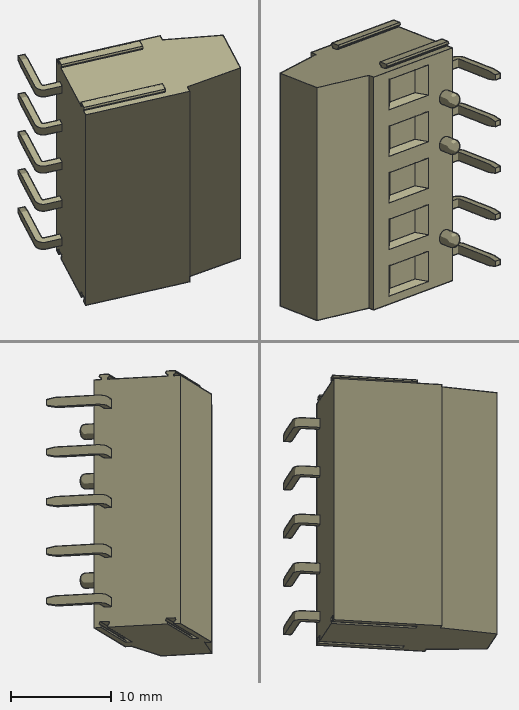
import cadquery as cq

cell_count = 5
housing_width = 8.95
housing_height = 25.05
pitch = housing_height / cell_count
housing_depth = 16.87
shoulder_y = 10.95
left_shoulder = 0.66
right_shoulder = 0.72
ridge_left_x = 1.97
ridge_right_x = 7.23

total_height = 25.55
rib_height = total_height - housing_height
rib_length = 8.55
rib_width = 1.07
rib_neck_width = 0.65
rib_neck_height = 0.1
rib_flare_height = 0.2
groove_clearance = 0.08
groove_depth = rib_height + groove_clearance
groove_neck_height = rib_neck_height + groove_clearance
rib_top_width = 0.87
rib_centres_x = (1.07, 7.95)

pocket_y = 6.08
pocket_length = 5.52
pocket_height = 3.25
pocket_floor_length = 3.48
pocket_floor_height = 2.65
pocket_depth = 0.9

stud_boundaries = (1, 2, 4)
stud_y = 1.05
stud_radius = 0.77
stud_length = 1.64
stud_tip_radius = 0.35
stud_dome_length = 0.49

pin_height = 0.92
pin_thickness = 0.72
pin_outer_x = 1.81
pin_reach_x = 4.17
pin_reach_y = 2.58
pin_inner_radius = 0.18
pin_outer_radius = pin_inner_radius + pin_thickness
pin_taper_length = 0.92
pin_tip_height = 0.55
pin_embed = 0.25


def cell_centre_z(cell):
    """Height of the middle of a cell, counted from the bottom."""
    return (cell + 0.5) * pitch


def make_housing():
    outline = [
        (0, 0),
        (housing_width, 0),
        (housing_width, shoulder_y),
        (housing_width - right_shoulder, shoulder_y),
        (ridge_right_x, housing_depth),
        (ridge_left_x, housing_depth),
        (left_shoulder, shoulder_y),
        (0, shoulder_y),
    ]
    return cq.Workplane("XY").polyline(outline).close().extrude(housing_height)


def make_dovetail(centre_x, base_z, height, neck_height):
    """Dovetail bar along Y with bevelled upper sides, standing on the given level."""
    half_neck = rib_neck_width / 2
    half_width = rib_width / 2
    half_top = rib_top_width / 2
    widest_z = neck_height + rib_flare_height
    profile = [
        (-half_neck, 0),
        (half_neck, 0),
        (half_neck, neck_height),
        (half_width, widest_z),
        (half_top, height),
        (-half_top, height),
        (-half_width, widest_z),
        (-half_neck, neck_height),
    ]
    plane = cq.Workplane("XZ", origin=(centre_x, 0, base_z))
    return plane.polyline(profile).close().extrude(-rib_length)


def make_pocket(centre_z):
    """Tapered recess in the X = 0 wall, narrowing towards its floor."""
    return (
        cq.Workplane("YZ", origin=(0, pocket_y, centre_z))
        .rect(pocket_length, pocket_height)
        .workplane(offset=pocket_depth)
        .rect(pocket_floor_length, pocket_floor_height)
        .loft(ruled=True)
    )


def make_stud(centre_z):
    """Round stud along -X with a domed, flat-ended tip."""
    dome_start_x = stud_dome_length - stud_length
    return (
        cq.Workplane("XY", origin=(0, stud_y, centre_z))
        .lineTo(0, stud_radius)
        .lineTo(dome_start_x, stud_radius)
        .tangentArcPoint((-stud_length, stud_tip_radius), relative=False)
        .lineTo(-stud_length, 0)
        .close()
        .revolve(360, (0, 0), (1, 0))
    )


def make_pin(centre_z):
    """L-shaped pin leaving the Y = 0 wall, bent towards -X, tapered at its end."""
    inner_x = pin_outer_x - pin_thickness
    inner_y = pin_thickness - pin_reach_y
    side_outline = [
        (-pin_reach_x, -pin_reach_y),
        (pin_outer_x, -pin_reach_y),
        (pin_outer_x, pin_embed),
        (inner_x, pin_embed),
        (inner_x, inner_y),
        (-pin_reach_x, inner_y),
    ]
    bar = (
        cq.Workplane("XY", origin=(0, 0, centre_z))
        .polyline(side_outline)
        .close()
        .extrude(pin_height / 2, both=True)
    )
    bar = bar.edges(cq.selectors.NearestToPointSelector((pin_outer_x, -pin_reach_y, centre_z)))
    bar = bar.fillet(pin_outer_radius)
    bar = bar.edges(cq.selectors.NearestToPointSelector((inner_x, inner_y, centre_z)))
    bar = bar.fillet(pin_inner_radius)

    half_height = pin_height / 2
    half_tip = pin_tip_height / 2
    taper_start_x = pin_taper_length - pin_reach_x
    front_outline = [
        (-pin_reach_x, -half_tip),
        (taper_start_x, -half_height),
        (pin_outer_x, -half_height),
        (pin_outer_x, half_height),
        (taper_start_x, half_height),
        (-pin_reach_x, half_tip),
    ]
    envelope = (
        cq.Workplane("XZ", origin=(0, pin_embed, centre_z))
        .polyline(front_outline)
        .close()
        .extrude(pin_reach_y + pin_embed)
    )
    return bar.intersect(envelope)


result = make_housing()

for rib_x in rib_centres_x:
    result = result.union(make_dovetail(rib_x, housing_height, rib_height, rib_neck_height))
    result = result.cut(make_dovetail(rib_x, 0, groove_depth, groove_neck_height))

for cell in range(cell_count):
    result = result.cut(make_pocket(cell_centre_z(cell)))
    result = result.union(make_pin(cell_centre_z(cell)))

for boundary in stud_boundaries:
    result = result.union(make_stud(housing_height - boundary * pitch))